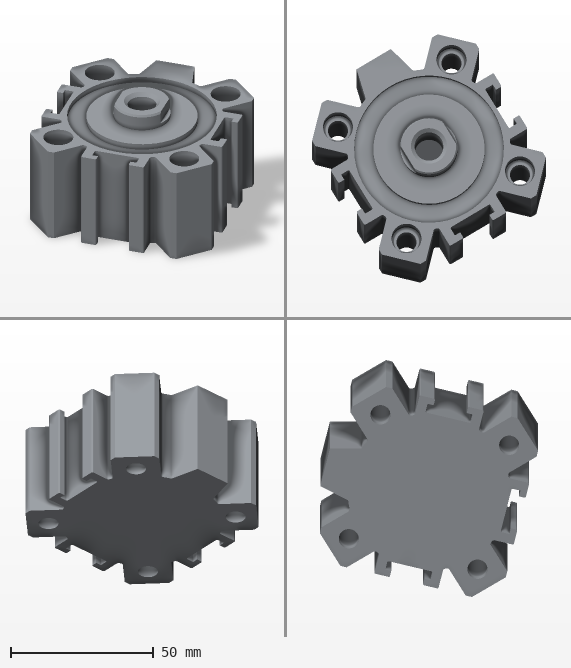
import cadquery as cq
import math

SQUARE_SIZE = 67.0
HOUSING_HEIGHT = 35.0
BARREL_RADIUS = 28.5

LUG_WIDTH = 17.05
LUG_REACH = 40.5
LUG_ROOT_FILLET = 1.0
MOUNT_HOLE_OFFSET = 23.2
MOUNT_HOLE_DIAMETER = 7.0
COUNTERBORE_DIAMETER = 10.5
COUNTERBORE_DEPTH = 6.8

RAIL_WIDTH = 23.15
RAIL_REACH = 33.4
RAIL_EDGE_FILLET = 0.5
RAIL_ROOT_FILLET = 0.8
SLOT_WIDTH = 16.25
SLOT_FLOOR = 27.8
SLOT_CORNER_FILLET = 0.5
SLOT_MOUTH_WIDTH = 11.9
LIP_THICKNESS = 2.35

PORT_REACH = 37.5
PORT_TIP_WIDTH = 14.0
PORT_ROOT_WIDTH = 19.45
PORT_ROOT = 26.8

RECESS_DIAMETER = 52.5
RECESS_DEPTH = 2.1
COLLAR_DIAMETER = 39.0

ROD_DIAMETER = 20.0
ROD_TOP = 41.0
ROD_CHAMFER_HEIGHT = 0.7
ROD_CHAMFER_WIDTH = 0.5
FLATS_WIDTH = 17.05
FLATS_BOTTOM = HOUSING_HEIGHT + 1.5
THREAD_HOLE_DIAMETER = 10.1
THREAD_HOLE_DEPTH = 14.9
THREAD_MOUTH_DIAMETER = 12.65

MINUS_Y_ANGLE = -90
LUG_TURNS = (45, 135, 225, 315)
RAIL_TURNS = (0, 90, -90)


def turned(body, angle):
    """The body turned about the Z axis."""
    return body.rotate((0, 0, 0), (0, 0, 1), angle)


def block_on_minus_y(width, inner, outer):
    """Full-height block centred on X = 0, between two distances from the axis towards -Y."""
    return (
        cq.Workplane("XY")
        .center(0, -(inner + outer) / 2)
        .rect(width, outer - inner)
        .extrude(HOUSING_HEIGHT)
    )


def fillet_barrel_edge(body, half_width, angle, radius):
    """Fillet the upright edge where an arm, turned by the angle from -Y, leaves the barrel.

    A positive half width picks the counterclockwise side of the arm, a negative one the other.
    """
    edge_angle = math.radians(MINUS_Y_ANGLE + angle) + math.asin(half_width / BARREL_RADIUS)
    edge_point = (
        BARREL_RADIUS * math.cos(edge_angle),
        BARREL_RADIUS * math.sin(edge_angle),
        HOUSING_HEIGHT / 2,
    )
    return body.edges("|Z").edges(cq.selectors.NearestToPointSelector(edge_point)).fillet(radius)


def make_slot():
    """T-slot of the -Y side, to be cut away."""
    channel = block_on_minus_y(SLOT_WIDTH, SLOT_FLOOR, RAIL_REACH - LIP_THICKNESS)
    channel = channel.edges("|Z and >Y").fillet(SLOT_CORNER_FILLET)
    return channel.union(block_on_minus_y(SLOT_MOUTH_WIDTH, SLOT_FLOOR, RAIL_REACH))


def make_rail():
    """Slotted rail of the -Y side with rounded outer and mouth edges."""
    rail = block_on_minus_y(RAIL_WIDTH, 0, RAIL_REACH).cut(make_slot())
    return rail.edges("|Z and <Y").fillet(RAIL_EDGE_FILLET)


def make_profile():
    """Round barrel with a diagonal lug at each corner and slotted rails on three sides."""
    profile = cq.Workplane("XY").circle(BARREL_RADIUS).extrude(HOUSING_HEIGHT)
    for angle in RAIL_TURNS:
        profile = profile.cut(turned(make_slot(), angle))

    for angle in LUG_TURNS:
        profile = profile.union(turned(block_on_minus_y(LUG_WIDTH, 0, LUG_REACH), angle))
    for angle in RAIL_TURNS:
        profile = profile.union(turned(make_rail(), angle))

    for side in (-1, 1):
        for angle in LUG_TURNS:
            profile = fillet_barrel_edge(profile, side * LUG_WIDTH / 2, angle, LUG_ROOT_FILLET)
        for angle in RAIL_TURNS:
            profile = fillet_barrel_edge(profile, side * RAIL_WIDTH / 2, angle, RAIL_ROOT_FILLET)

    square = cq.Workplane("XY").rect(SQUARE_SIZE, SQUARE_SIZE).extrude(HOUSING_HEIGHT)
    return profile.intersect(square)


def make_port_block():
    """Tapered block on the +Y side."""
    outline = [
        (-PORT_ROOT_WIDTH / 2, 0),
        (-PORT_ROOT_WIDTH / 2, PORT_ROOT),
        (-PORT_TIP_WIDTH / 2, PORT_REACH),
        (PORT_TIP_WIDTH / 2, PORT_REACH),
        (PORT_ROOT_WIDTH / 2, PORT_ROOT),
        (PORT_ROOT_WIDTH / 2, 0),
    ]
    return cq.Workplane("XY").polyline(outline).close().extrude(HOUSING_HEIGHT)


def make_housing():
    """Profile with the port block, the ring recess, the rod hole and the mounting holes."""
    housing = make_profile().union(make_port_block())

    top = cq.Workplane("XY").workplane(offset=HOUSING_HEIGHT)
    recess = top.circle(RECESS_DIAMETER / 2).circle(COLLAR_DIAMETER / 2).extrude(-RECESS_DEPTH)
    rod_hole = top.circle(ROD_DIAMETER / 2).extrude(-HOUSING_HEIGHT)
    mount_holes = top.rect(2 * MOUNT_HOLE_OFFSET, 2 * MOUNT_HOLE_OFFSET, forConstruction=True).vertices()
    through_holes = mount_holes.circle(MOUNT_HOLE_DIAMETER / 2).extrude(-HOUSING_HEIGHT)
    counterbores = mount_holes.circle(COUNTERBORE_DIAMETER / 2).extrude(-COUNTERBORE_DEPTH)
    return housing.cut(recess).cut(rod_hole).cut(through_holes).cut(counterbores)


def make_rod():
    """Rod with a chamfered top, two wrench flats facing X and a blind thread hole."""
    radius = ROD_DIAMETER / 2
    half_section = [
        (0, 0),
        (radius, 0),
        (radius, ROD_TOP - ROD_CHAMFER_HEIGHT),
        (radius - ROD_CHAMFER_WIDTH, ROD_TOP),
        (0, ROD_TOP),
    ]
    rod = cq.Workplane("XZ").polyline(half_section).close().revolve(360, (0, 0, 0), (0, 1, 0))

    flats = (
        cq.Workplane("XY")
        .workplane(offset=FLATS_BOTTOM)
        .rect(2 * ROD_DIAMETER, 2 * ROD_DIAMETER)
        .rect(FLATS_WIDTH, 2 * ROD_DIAMETER)
        .extrude(ROD_TOP - FLATS_BOTTOM)
    )
    rod = rod.cut(flats)

    hole_radius = THREAD_HOLE_DIAMETER / 2
    mouth_radius = THREAD_MOUTH_DIAMETER / 2
    hole_half_section = [
        (0, ROD_TOP - THREAD_HOLE_DEPTH),
        (hole_radius, ROD_TOP - THREAD_HOLE_DEPTH),
        (hole_radius, ROD_TOP - (mouth_radius - hole_radius)),
        (mouth_radius, ROD_TOP),
        (0, ROD_TOP),
    ]
    hole = cq.Workplane("XZ").polyline(hole_half_section).close().revolve(360, (0, 0, 0), (0, 1, 0))
    return rod.cut(hole)


housing = make_housing()
rod = make_rod()
result = cq.Compound.makeCompound([housing.val(), rod.val()])